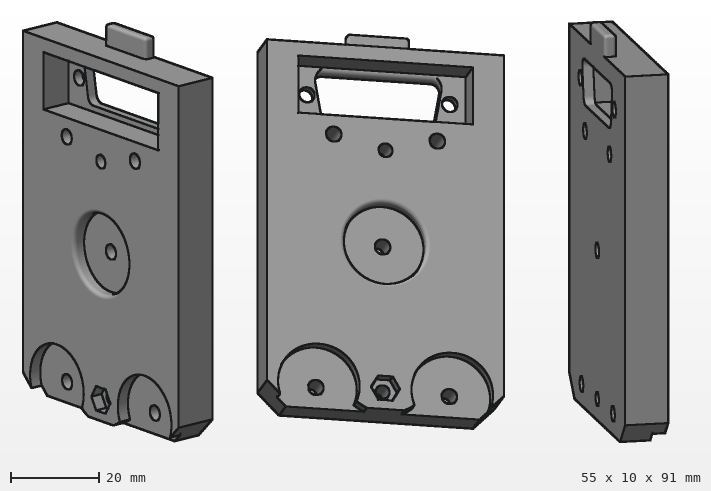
import cadquery as cq
import math

total_height = 91.0
plate_width = 55.0
plate_thickness = 10.0
tab_height = 5.0
plate_height = total_height - tab_height
corner_chamfer = 5.0

tab_width = 14.5
tab_depth = 2.8
tab_round = 0.8

recess_width = 40.5
recess_height = 13.6
recess_top = plate_height - 3.4
recess_depth = 7.5
opening_top = plate_height - 4.8
opening_height = 10.65
opening_top_width = 30.0
opening_flare = 10.0
opening_round = 2.0
opening_lip_round = 1.2
connector_hole_offset = 16.6
connector_hole_z = 75.9

screw_hole_diameter = 3.55
small_hole_diameter = 3.2
upper_hole_offset = 12.0
upper_hole_z = 64.5
blind_hole_z = 61.5
blind_hole_depth = 7.5

pocket_depth = 3.0
socket_radius = 9.5
socket_lip_round = 1.0
socket_z = 39.5

foot_z = 5.0
pad_offset = 15.5
pad_radius = 9.5
nut_across_flats = 5.7
land_radius = 10.9
land_center_z = 10.0


def on_front(depth=0.0):
    """Workplane parallel to the front face, extruding toward the back (+Y)."""
    return cq.Workplane("XZ", origin=(0, depth, 0))


def cylinder(x, z, diameter, depth=plate_thickness):
    return on_front().center(x, z).circle(diameter / 2).extrude(-depth)


def plate():
    blank = cq.Workplane("XY").box(plate_width, plate_thickness, plate_height, centered=(True, False, False))
    return blank.edges("|Y and <Z").chamfer(corner_chamfer)


def tab():
    block = (
        cq.Workplane("XY", origin=(0, plate_thickness - tab_depth / 2, plate_height))
        .rect(tab_width, tab_depth)
        .extrude(tab_height)
    )
    return block.edges("|Z").fillet(tab_round).faces(">Z").edges().fillet(tab_round)


def connector_recess():
    center_z = recess_top - recess_height / 2
    return on_front().center(0, center_z).rect(recess_width, recess_height).extrude(-recess_depth)


def connector_opening():
    """Flared opening through the recess floor, with a rounded lip along its top edge."""
    flare = math.tan(math.radians(opening_flare))
    wall = plate_thickness - recess_depth
    lip_top = opening_top + opening_lip_round
    bottom = opening_top - opening_height
    half_lip = opening_top_width / 2 + opening_lip_round * flare
    half_bottom = opening_top_width / 2 - opening_height * flare
    outline = [(-half_lip, lip_top), (half_lip, lip_top), (half_bottom, bottom), (-half_bottom, bottom)]
    prism = on_front(recess_depth).polyline(outline).close().extrude(-wall)
    prism = prism.edges("|Y and <Z").fillet(opening_round)
    above_lip = (
        cq.Workplane("YZ", origin=(-half_lip, 0, 0))
        .moveTo(recess_depth, lip_top)
        .radiusArc((recess_depth + opening_lip_round, opening_top), -opening_lip_round)
        .lineTo(plate_thickness, opening_top)
        .lineTo(plate_thickness, lip_top)
        .close()
        .extrude(2 * half_lip)
    )
    flared = prism.cut(above_lip)
    return flared.edges("%ELLIPSE").fillet(opening_round)


def socket():
    """Round pocket whose rim flares out through a convex round."""
    profile = (
        cq.Workplane("XY", origin=(0, 0, socket_z))
        .lineTo(socket_radius + socket_lip_round, 0)
        .radiusArc((socket_radius, socket_lip_round), socket_lip_round)
        .lineTo(socket_radius, pocket_depth)
        .lineTo(0, pocket_depth)
        .close()
    )
    return profile.revolve(360, (0, 0, 0), (0, 1, 0))


def land_trim():
    """Material below the curved lower edge of the land between the pads."""
    strip = on_front().center(0, foot_z / 2).rect(2 * pad_offset, foot_z).extrude(-pocket_depth)
    return strip.cut(cylinder(0, land_center_z, 2 * land_radius))


def nut_pocket():
    across_corners = nut_across_flats / math.cos(math.pi / 6)
    return on_front().center(0, foot_z).polygon(6, across_corners).extrude(-pocket_depth)


result = plate().union(tab())
result = result.cut(connector_recess()).cut(connector_opening())
result = result.cut(socket()).cut(land_trim()).cut(nut_pocket())

for side in (-1, 1):
    result = result.cut(cylinder(side * pad_offset, foot_z, 2 * pad_radius, pocket_depth))
    result = result.cut(cylinder(side * pad_offset, foot_z, screw_hole_diameter))
    result = result.cut(cylinder(side * upper_hole_offset, upper_hole_z, screw_hole_diameter))
    result = result.cut(cylinder(side * connector_hole_offset, connector_hole_z, screw_hole_diameter))

result = result.cut(cylinder(0, socket_z, screw_hole_diameter))
result = result.cut(cylinder(0, foot_z, small_hole_diameter))
result = result.cut(cylinder(0, blind_hole_z, small_hole_diameter, blind_hole_depth))